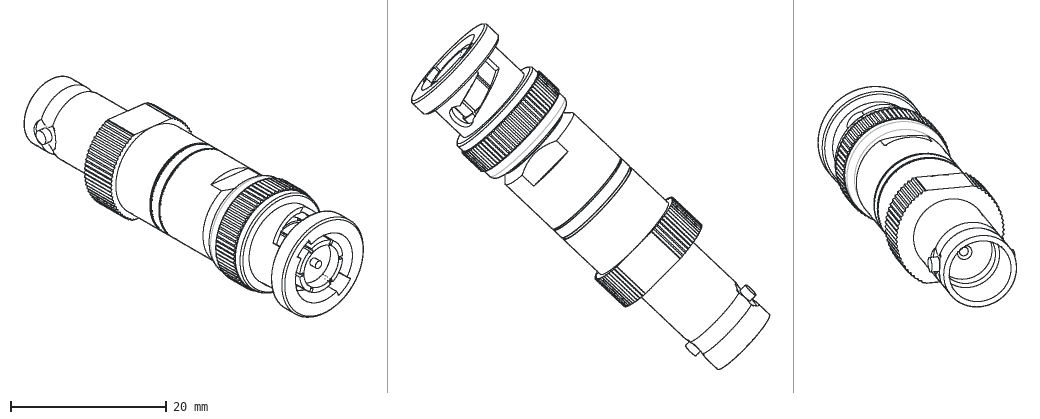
import cadquery as cq
import math

TOTAL_LENGTH = 53.0
KNURL_TIP_RADIUS = 7.25
OVERLAP = 0.25

BARREL_RADIUS = 4.9
BARREL_END = 14.45
JACK_BORE_RADIUS = 4.15
JACK_SEAT_RADIUS = 3.65
JACK_TAPER_START = 5.5
JACK_TAPER_END = 5.8
JACK_FLOOR = 7.4
CONTACT_RADIUS = 0.6
CONTACT_MOUTH_RADIUS = 0.95
CONTACT_MOUTH_DEPTH = 0.35
CONTACT_DEPTH = 2.65

PIN_X = 4.1
PIN_RADIUS = 0.95
PIN_REACH = 5.55
SPOT_RADIUS = 2.1
SPOT_HEIGHT = 4.5
PIN_GROOVE_HALF_WIDTH = 1.1
PIN_GROOVE_DEPTH = 0.2

TOOTH_COUNT = 72
TOOTH_DEPTH = 0.2
JACK_KNURL_END = 19.6

BODY_RADIUS = 6.35
BODY_END = 37.65
BODY_END_RADIUS = 5.35
NECK_RADIUS = 4.8
WRENCH_FLAT_HEIGHT = 5.5
WRENCH_FLAT_START = 34.55
SEAM_GROOVES = [(26.25, 0.3), (28.0, 0.2)]
SEAM_GROOVE_DEPTH = 0.15

COLLAR_START = 38.05
COLLAR_END = 44.85
COLLAR_RADIUS = 7.0
COLLAR_ROUND = 0.8
COLLAR_CHAMFER = 0.25
COLLAR_KNURL_START = 39.9
COLLAR_KNURL_END = 43.65
KNURL_END_CHAMFER = 0.2

SLEEVE_RADIUS = 5.65
SLEEVE_BORE_RADIUS = 4.9
SLEEVE_BORE_START = 45.25
FLANGE_START = 50.45
FLANGE_CHAMFER = 0.25

SLOT_MID_X = 48.05
SLOT_HALF_WIDTH = 1.2
SLOT_DEGREES_PER_UNIT = 38.87
LOCK_ANGLE = 35.0
LOCK_X = 47.5
LOCK_RADIUS = 1.65
ENTRY_ANGLE_LOW = -53.5
ENTRY_ANGLE_HIGH = -26.6
ENTRY_START = 49.8

SHELL_RADIUS = 3.65
SHELL_BASE_RADIUS = 3.9
SHELL_BASE_END = 46.55
SHELL_BORE_RADIUS = 2.95
SHELL_BORE_START = 50.9
SHELL_END = 52.45
SLIT_START = 45.85
SLIT_WIDTH = 0.4
SLIT_FLOOR_RADIUS = 3.15
SLIT_COUNT = 6
SLIT_ANGLE = 30.0
PLUG_PIN_RADIUS = 0.55
PLUG_PIN_END = 51.95


def section(x):
    """Workplane across the axis at x, with local axes Y and Z."""
    return cq.Workplane("YZ", origin=(x, 0, 0))


def disc(start, end, radius):
    return section(start).circle(radius).extrude(end - start)


def ring(start, end, outer, inner):
    return section(start).circle(outer).circle(inner).extrude(end - start)


def revolve(outline):
    """Turn a closed outline of (x, radius) points around the X axis."""
    return outline.close().revolve(360, (0, 0, 0), (1, 0, 0))


def knurl(start, end):
    """Straight knurl with pointed teeth."""
    root_radius = KNURL_TIP_RADIUS - TOOTH_DEPTH
    points = []
    for i in range(2 * TOOTH_COUNT):
        radius = KNURL_TIP_RADIUS if i % 2 == 0 else root_radius
        angle = math.pi * i / TOOTH_COUNT
        points.append((radius * math.cos(angle), radius * math.sin(angle)))
    return section(start).polyline(points).close().extrude(end - start)


def sector_outline(x, low, high, inner, outer):
    """Ring sector between two angles, ready to be extruded along X."""
    def point(radius, angle):
        a = math.radians(angle)
        return radius * math.sin(a), radius * math.cos(a)

    middle = (low + high) / 2
    return (
        section(x)
        .moveTo(*point(inner, low))
        .lineTo(*point(outer, low))
        .threePointArc(point(outer, middle), point(outer, high))
        .lineTo(*point(inner, high))
        .threePointArc(point(inner, middle), point(inner, low))
        .close()
    )


def make_jack_and_body():
    barrel = disc(0, BARREL_END + OVERLAP, BARREL_RADIUS)
    pin_groove = revolve(
        cq.Workplane("XY")
        .moveTo(PIN_X - PIN_GROOVE_HALF_WIDTH, BARREL_RADIUS)
        .threePointArc(
            (PIN_X, BARREL_RADIUS - PIN_GROOVE_DEPTH),
            (PIN_X + PIN_GROOVE_HALF_WIDTH, BARREL_RADIUS),
        )
        .lineTo(PIN_X + PIN_GROOVE_HALF_WIDTH, BARREL_RADIUS + OVERLAP)
        .lineTo(PIN_X - PIN_GROOVE_HALF_WIDTH, BARREL_RADIUS + OVERLAP)
    )
    barrel = barrel.cut(pin_groove)

    cone_length = BODY_RADIUS - BODY_END_RADIUS
    body = disc(JACK_KNURL_END - OVERLAP, BODY_END, BODY_RADIUS).faces(">X").chamfer(cone_length)
    for start, width in SEAM_GROOVES:
        groove = ring(start, start + width, BODY_RADIUS + OVERLAP, BODY_RADIUS - SEAM_GROOVE_DEPTH)
        body = body.cut(groove)
    wrench_length = BODY_END - WRENCH_FLAT_START
    wrench_slab = cq.Workplane("XY").box(
        2 * wrench_length, 2 * BODY_RADIUS, BODY_RADIUS, centered=(False, True, False)
    )
    wrench_cut = wrench_slab.translate((WRENCH_FLAT_START, 0, WRENCH_FLAT_HEIGHT))
    body = body.cut(wrench_cut).cut(wrench_cut.mirror("XY"))

    flat_blank = section(BARREL_END).rect(2 * KNURL_TIP_RADIUS + OVERLAP, 2 * BODY_RADIUS)
    flat_blank = flat_blank.extrude(JACK_KNURL_END - BARREL_END)
    grip = knurl(BARREL_END, JACK_KNURL_END).intersect(flat_blank)
    return barrel.union(grip).union(body)


def cut_jack_bore(part):
    bore = revolve(
        cq.Workplane("XY")
        .moveTo(-OVERLAP, 0)
        .lineTo(-OVERLAP, JACK_BORE_RADIUS)
        .lineTo(JACK_TAPER_START, JACK_BORE_RADIUS)
        .lineTo(JACK_TAPER_END, JACK_SEAT_RADIUS)
        .lineTo(JACK_FLOOR, JACK_SEAT_RADIUS)
        .lineTo(JACK_FLOOR, CONTACT_MOUTH_RADIUS)
        .lineTo(JACK_FLOOR + CONTACT_MOUTH_DEPTH, CONTACT_RADIUS)
        .lineTo(JACK_FLOOR + CONTACT_DEPTH, CONTACT_RADIUS)
        .lineTo(JACK_FLOOR + CONTACT_DEPTH, 0)
    )
    return part.cut(bore)


def add_bayonet_pins(part):
    """Flat spots on the -Y and +Y sides, each with a pin."""
    side = cq.Workplane("XZ", origin=(PIN_X, 0, 0))
    spot = side.workplane(offset=SPOT_HEIGHT).circle(SPOT_RADIUS).extrude(BARREL_RADIUS)
    pin_base = (JACK_BORE_RADIUS + SPOT_HEIGHT) / 2
    pin = side.workplane(offset=pin_base).circle(PIN_RADIUS).extrude(PIN_REACH - pin_base)
    part = part.cut(spot).cut(spot.mirror("XZ"))
    return part.union(pin).union(pin.mirror("XZ"))


def make_coupling():
    neck = disc(BODY_END - OVERLAP, COLLAR_START + OVERLAP, NECK_RADIUS)
    collar = disc(COLLAR_START, COLLAR_END, COLLAR_RADIUS)
    collar = collar.faces("<X").edges().fillet(COLLAR_ROUND)
    collar = collar.faces(">X").edges().chamfer(COLLAR_CHAMFER)

    grip = knurl(COLLAR_KNURL_START, COLLAR_KNURL_END)
    grip_blank = disc(COLLAR_KNURL_START, COLLAR_KNURL_END, KNURL_TIP_RADIUS)
    grip = grip.intersect(grip_blank.edges().chamfer(KNURL_END_CHAMFER))
    collar = collar.union(grip)

    sleeve = disc(COLLAR_END - OVERLAP, FLANGE_START + OVERLAP, SLEEVE_RADIUS)
    flange = disc(FLANGE_START, TOTAL_LENGTH, COLLAR_RADIUS).edges().chamfer(FLANGE_CHAMFER)
    coupling = neck.union(collar).union(sleeve).union(flange)
    return coupling.cut(disc(SLEEVE_BORE_START, TOTAL_LENGTH + OVERLAP, SLEEVE_BORE_RADIUS))


def make_slot_cutters():
    """Helical ramp from an axial entry at the flange to a round lock hole."""
    inner = SLEEVE_BORE_RADIUS - OVERLAP
    outer = SLEEVE_RADIUS + OVERLAP

    ramp_start = LOCK_X - LOCK_RADIUS
    ramp_length = FLANGE_START - ramp_start
    half_sweep = SLOT_HALF_WIDTH * SLOT_DEGREES_PER_UNIT
    start_angle = (SLOT_MID_X - ramp_start) * SLOT_DEGREES_PER_UNIT
    ramp = sector_outline(
        ramp_start, start_angle - half_sweep, start_angle + half_sweep, inner, outer
    ).twistExtrude(ramp_length, ramp_length * SLOT_DEGREES_PER_UNIT)
    ramp_limits = sector_outline(
        ramp_start, ENTRY_ANGLE_LOW, LOCK_ANGLE, inner - OVERLAP, outer + OVERLAP
    ).extrude(ramp_length)
    ramp = ramp.intersect(ramp_limits)

    entry = sector_outline(
        ENTRY_START, ENTRY_ANGLE_LOW, ENTRY_ANGLE_HIGH, inner, SLEEVE_RADIUS
    ).extrude(TOTAL_LENGTH + OVERLAP - ENTRY_START)

    lock = (
        cq.Workplane("XY", origin=(LOCK_X, 0, SLEEVE_BORE_RADIUS - 2 * OVERLAP))
        .circle(LOCK_RADIUS)
        .extrude(SLEEVE_RADIUS)
        .rotate((0, 0, 0), (1, 0, 0), -LOCK_ANGLE)
    )
    return [ramp, entry, lock]


def cut_bayonet_slots(part):
    """Two slots, half a turn apart."""
    for cutter in make_slot_cutters():
        part = part.cut(cutter)
        part = part.cut(cutter.rotate((0, 0, 0), (1, 0, 0), 180))
    return part


def make_plug_core():
    root = SLEEVE_BORE_START - OVERLAP
    shell = disc(root, SHELL_END, SHELL_RADIUS).union(disc(root, SHELL_BASE_END, SHELL_BASE_RADIUS))
    shell = shell.cut(disc(SHELL_BORE_START, SHELL_END + OVERLAP, SHELL_BORE_RADIUS))
    slit = cq.Workplane("XY", origin=(SLIT_START, 0, SLIT_FLOOR_RADIUS)).box(
        SHELL_END + OVERLAP - SLIT_START, SLIT_WIDTH, SHELL_RADIUS, centered=(False, True, False)
    )
    for i in range(SLIT_COUNT):
        shell = shell.cut(slit.rotate((0, 0, 0), (1, 0, 0), SLIT_ANGLE + i * 360 / SLIT_COUNT))
    return shell.union(disc(root, PLUG_PIN_END, PLUG_PIN_RADIUS))


jack_side = add_bayonet_pins(cut_jack_bore(make_jack_and_body()))
plug_side = cut_bayonet_slots(make_coupling()).union(make_plug_core())
result = jack_side.union(plug_side)